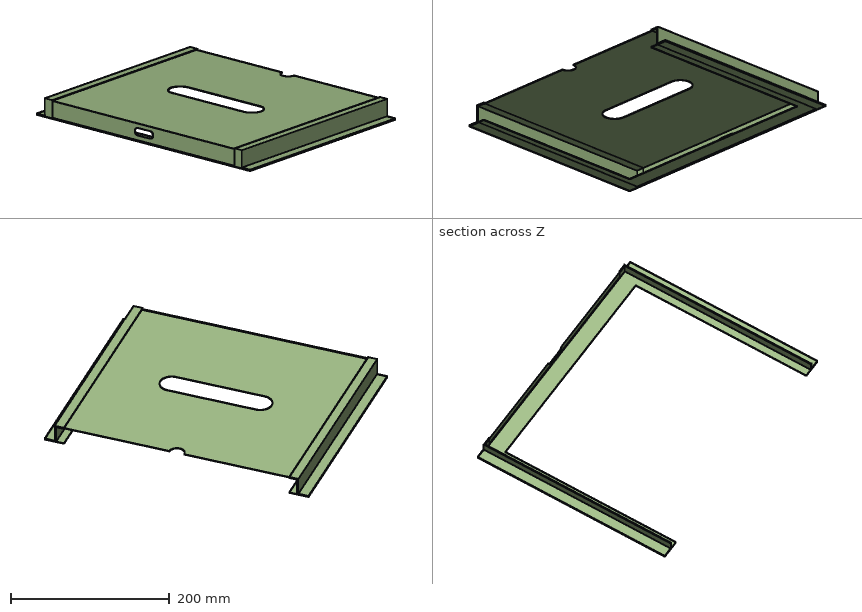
import cadquery as cq

length_x = 355.0
width_y = 280.0
height_z = 25.0
sheet = 1.0

body_length = 328.0
rail_width = 12.5
panel_length = body_length - 2 * rail_width
panel_top = height_z - sheet
panel_width = width_y - 2 * sheet
rail_wall = 2 * sheet
cavity_length = body_length - 2 * rail_wall
cavity_top = panel_top - sheet
panel_front_y = -panel_width / 2
cavity_front_y = panel_front_y + sheet

handle_slot_length = 149.8
handle_slot_width = 31.0
front_slot_length = 30.0
front_slot_height = 10.0
front_slot_z = height_z / 2
notch_radius = 10.0

base_front_strip = 25.0
base_side_strip = (length_x - panel_length) / 2


def block(size_x, y_start, y_end, z_bottom, z_top):
    """Box centred on X, between the given Y and Z limits."""
    return (
        cq.Workplane("XY")
        .box(size_x, y_end - y_start, z_top - z_bottom, centered=(True, False, False))
        .translate((0, y_start, z_bottom))
    )


def make_cover():
    half_width = width_y / 2

    cover = block(length_x, -half_width, half_width, sheet, 2 * sheet)
    cover = cover.cut(block(panel_length, -half_width, half_width, sheet, 2 * sheet))
    cover = cover.union(block(panel_length, panel_front_y, -panel_front_y, sheet, panel_top))
    rail_center_x = (panel_length + rail_width) / 2
    for side in (-1, 1):
        rail = block(rail_width, -half_width, half_width, sheet, height_z)
        cover = cover.union(rail.translate((side * rail_center_x, 0, 0)))

    cover = cover.cut(block(cavity_length, cavity_front_y, half_width, sheet, cavity_top))

    handle_slot = (
        cq.Workplane("XY").workplane(offset=cavity_top)
        .slot2D(handle_slot_length, handle_slot_width)
        .extrude(sheet)
    )

    front_slot = (
        cq.Workplane("XZ", origin=(0, cavity_front_y, front_slot_z))
        .slot2D(front_slot_length, front_slot_height)
        .extrude(sheet)
    )

    notch = (
        cq.Workplane("XY", origin=(0, -panel_front_y, cavity_top))
        .circle(notch_radius)
        .extrude(sheet)
    )
    return cover.cut(handle_slot).cut(front_slot).cut(notch)


def make_base():
    half_width = width_y / 2
    plate = block(length_x, -half_width, half_width, 0, sheet)
    opening_length = length_x - 2 * base_side_strip
    opening = block(opening_length, base_front_strip - half_width, half_width, 0, sheet)
    return plate.cut(opening)


cover = make_cover()
base = make_base()
result = cq.Compound.makeCompound([cover.val(), base.val()])